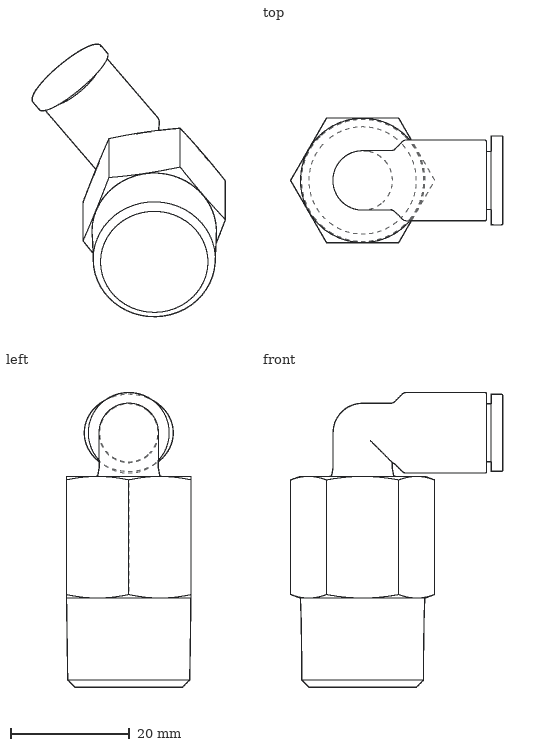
import cadquery as cq
import math

OVERALL_HEIGHT = 49.6

SHANK_LENGTH = 15.0
SHANK_TOP_RADIUS = 10.48
SHANK_TIP_RADIUS = 10.28
SHANK_CHAMFER = 1.25

HEX_ACROSS_FLATS = 21.0
HEX_HEIGHT = 20.5
HEX_FACE_RADIUS = 10.45
HEX_CHAMFER_ANGLE = 20.0
TURNING_CLEARANCE = 1.0

ELBOW_RADIUS = 5.0
STEM_TAPER_HEIGHT = 1.4
STEM_TAPER_RADIUS = 5.2
STEM_FOOT_FILLET = 0.3

BARREL_RADIUS = 6.8
BARREL_END_X = 20.85
BARREL_END_FILLET = 0.3
CONE_START_X = 5.15
CONE_ANGLE = 45.0
CONE_BLEND_RADIUS = 1.0

NECK_RADIUS = 4.9
COLLAR_WIDTH = 15.0
COLLAR_HEIGHT = 13.0
COLLAR_THICKNESS = 2.0
COLLAR_END_X = 23.6
COLLAR_FILLET = 0.3

HEX_TOP_Z = SHANK_LENGTH + HEX_HEIGHT
ARM_AXIS_Z = OVERALL_HEIGHT - BARREL_RADIUS
CONE_LENGTH = (BARREL_RADIUS - ELBOW_RADIUS) / math.tan(math.radians(CONE_ANGLE))
COLLAR_START_X = COLLAR_END_X - COLLAR_THICKNESS


def revolve_about_z(profile):
    """Turn a closed profile of radius and height about the Z axis."""
    return profile.close().revolve(360, (0, 0, 0), (0, 1, 0))


def make_shank():
    return revolve_about_z(
        cq.Workplane("YZ")
        .lineTo(SHANK_TIP_RADIUS - SHANK_CHAMFER, 0)
        .lineTo(SHANK_TIP_RADIUS, SHANK_CHAMFER)
        .lineTo(SHANK_TOP_RADIUS, SHANK_LENGTH)
        .lineTo(0, SHANK_LENGTH)
    )


def make_hexagon():
    """Hexagonal prism with corners on the X axis, both ends turned to a shallow cone."""
    corner_radius = HEX_ACROSS_FLATS / 2 / math.cos(math.pi / 6)
    prism = (
        cq.Workplane("XY", origin=(0, 0, SHANK_LENGTH))
        .polygon(6, 2 * corner_radius)
        .extrude(HEX_HEIGHT)
    )
    turned_radius = corner_radius + TURNING_CLEARANCE
    turned_drop = (turned_radius - HEX_FACE_RADIUS) * math.tan(math.radians(HEX_CHAMFER_ANGLE))
    turned_envelope = revolve_about_z(
        cq.Workplane("XZ")
        .moveTo(0, SHANK_LENGTH)
        .lineTo(HEX_FACE_RADIUS, SHANK_LENGTH)
        .lineTo(turned_radius, SHANK_LENGTH + turned_drop)
        .lineTo(turned_radius, HEX_TOP_Z - turned_drop)
        .lineTo(HEX_FACE_RADIUS, HEX_TOP_Z)
        .lineTo(0, HEX_TOP_Z)
    )
    return prism.intersect(turned_envelope)


def make_elbow():
    """Stem and arm of equal radius, mitred together and rounded by a sphere at the corner."""
    stem = (
        cq.Workplane("XY", origin=(0, 0, HEX_TOP_Z))
        .circle(ELBOW_RADIUS)
        .extrude(ARM_AXIS_Z - HEX_TOP_Z)
    )
    arm = (
        cq.Workplane("YZ", origin=(0, 0, ARM_AXIS_Z))
        .circle(ELBOW_RADIUS)
        .extrude(CONE_START_X)
    )
    corner = cq.Workplane("XY", origin=(0, 0, ARM_AXIS_Z)).sphere(ELBOW_RADIUS)
    return stem.union(arm).union(corner)


def make_stem_foot():
    """Slight taper at the base of the stem, ending in a small fillet onto the hexagon."""
    return revolve_about_z(
        cq.Workplane("XZ")
        .moveTo(0, HEX_TOP_Z)
        .lineTo(STEM_TAPER_RADIUS + STEM_FOOT_FILLET, HEX_TOP_Z)
        .radiusArc((STEM_TAPER_RADIUS, HEX_TOP_Z + STEM_FOOT_FILLET), STEM_FOOT_FILLET)
        .lineTo(ELBOW_RADIUS, HEX_TOP_Z + STEM_TAPER_HEIGHT)
        .lineTo(0, HEX_TOP_Z + STEM_TAPER_HEIGHT)
    )


def make_barrel():
    """Cone, barrel and neck turned about the arm axis, with tangent blends at both cone ends."""
    cone_angle = math.radians(CONE_ANGLE)
    half_angle = cone_angle / 2
    tangent = CONE_BLEND_RADIUS * math.tan(half_angle)
    tangent_run = tangent * math.cos(cone_angle)
    tangent_rise = tangent * math.sin(cone_angle)
    arc_half_run = CONE_BLEND_RADIUS * math.sin(half_angle)
    arc_half_rise = CONE_BLEND_RADIUS * (1 - math.cos(half_angle))
    cone_end_x = CONE_START_X + CONE_LENGTH
    blend_start_x = CONE_START_X - tangent
    blend_end_x = cone_end_x + tangent
    profile = (
        cq.Workplane("XZ", origin=(0, 0, ARM_AXIS_Z))
        .moveTo(blend_start_x, 0)
        .lineTo(blend_start_x, ELBOW_RADIUS)
        .threePointArc(
            (blend_start_x + arc_half_run, ELBOW_RADIUS + arc_half_rise),
            (CONE_START_X + tangent_run, ELBOW_RADIUS + tangent_rise),
        )
        .lineTo(cone_end_x - tangent_run, BARREL_RADIUS - tangent_rise)
        .threePointArc(
            (blend_end_x - arc_half_run, BARREL_RADIUS - arc_half_rise),
            (blend_end_x, BARREL_RADIUS),
        )
        .lineTo(BARREL_END_X - BARREL_END_FILLET, BARREL_RADIUS)
        .radiusArc((BARREL_END_X, BARREL_RADIUS - BARREL_END_FILLET), BARREL_END_FILLET)
        .lineTo(BARREL_END_X, NECK_RADIUS)
        .lineTo(COLLAR_START_X, NECK_RADIUS)
        .lineTo(COLLAR_START_X, 0)
        .close()
    )
    return profile.revolve(360, (0, 0, 0), (1, 0, 0))


def make_collar():
    return (
        cq.Workplane("YZ", origin=(COLLAR_START_X, 0, ARM_AXIS_Z))
        .ellipse(COLLAR_WIDTH / 2, COLLAR_HEIGHT / 2)
        .extrude(COLLAR_THICKNESS)
        .faces(">X")
        .edges()
        .fillet(COLLAR_FILLET)
    )


result = (
    make_shank()
    .union(make_hexagon())
    .union(make_elbow())
    .union(make_stem_foot())
    .union(make_barrel())
    .union(make_collar())
)